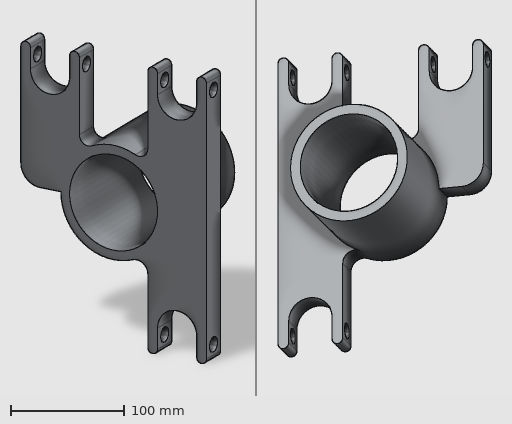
import cadquery as cq

width = 190.0
height = 270.0
plate_thickness = 25.0
tube_length = 120.0
tube_diameter = 108.0
bore_diameter = 90.0

prong_thickness = 10.0
slot_width = 40.0
slot_depth = 45.0
pin_hole_diameter = 14.0
pin_hole_inset = 15.0

arm_corner_radius = 20.0
upper_hub_fillet_radius = 9.0
lower_hub_fillet_radius = 11.5

fork_width = slot_width + 2 * prong_thickness
fork_x = (width - fork_width) / 2
inner_edge_x = fork_x - fork_width / 2
tip_z = height / 2
pin_z = tip_z - pin_hole_inset
forks = [(-fork_x, 1), (fork_x, 1), (fork_x, -1)]


def box_between(x_min, x_max, z_min, z_max):
    """Block through the plate thickness, spanning the given X and Z limits."""
    return cq.Workplane("XY").box(
        x_max - x_min, plate_thickness, z_max - z_min, centered=False
    ).translate((x_min, 0, z_min))


def cylinder_along_y(diameter, length, x=0.0, z=0.0):
    """Cylinder from the plate front toward +Y."""
    return cq.Workplane("XZ", origin=(x, 0, z)).circle(diameter / 2).extrude(-length)


def make_plate():
    """Long right arm, short left arm and a round hub, blended at the inner corners."""
    right_arm = box_between(inner_edge_x, width / 2, -tip_z, tip_z)
    left_arm = box_between(-width / 2, -inner_edge_x, 0, tip_z)
    left_arm = left_arm.edges("|Y and <X and <Z").fillet(arm_corner_radius)
    hub = cylinder_along_y(tube_diameter, plate_thickness)
    plate = right_arm.union(left_arm).union(hub)

    hub_radius = tube_diameter / 2
    corner_z = (hub_radius**2 - inner_edge_x**2) ** 0.5
    mid_y = plate_thickness / 2
    hub_corners = [
        (-1, 1, upper_hub_fillet_radius),
        (1, 1, upper_hub_fillet_radius),
        (1, -1, lower_hub_fillet_radius),
    ]
    for x_sign, z_sign, radius in hub_corners:
        corner = (x_sign * inner_edge_x, mid_y, z_sign * corner_z)
        plate = plate.edges(cq.selectors.NearestToPointSelector(corner)).fillet(radius)
    return plate


def fork_slot(center_x, direction):
    """Slot cutter: a round bottom and a straight part running out to the tips."""
    round_z = direction * (tip_z - slot_depth + slot_width / 2)
    end_z = direction * tip_z
    half_slot = slot_width / 2
    straight = box_between(
        center_x - half_slot, center_x + half_slot, min(round_z, end_z), max(round_z, end_z)
    )
    return straight.union(cylinder_along_y(slot_width, plate_thickness, center_x, round_z))


def prong_tip_trim(center_x, direction):
    """Material removed to leave a full half-round end on one prong."""
    half_prong = prong_thickness / 2
    round_z = direction * (tip_z - half_prong)
    end_z = direction * tip_z
    end_block = box_between(
        center_x - half_prong, center_x + half_prong, min(round_z, end_z), max(round_z, end_z)
    )
    return end_block.cut(cylinder_along_y(prong_thickness, plate_thickness, center_x, round_z))


def pin_hole(z):
    """Hole along X through every prong at the given height."""
    return (
        cq.Workplane("YZ", origin=(-width / 2, plate_thickness / 2, z))
        .circle(pin_hole_diameter / 2)
        .extrude(width)
    )


body = make_plate()

for center_x, direction in forks:
    body = body.cut(fork_slot(center_x, direction))
    prong_offset = (slot_width + prong_thickness) / 2
    for side in (-1, 1):
        body = body.cut(prong_tip_trim(center_x + side * prong_offset, direction))

for z in (-pin_z, pin_z):
    body = body.cut(pin_hole(z))

body = body.union(cylinder_along_y(tube_diameter, tube_length))
result = body.cut(cylinder_along_y(bore_diameter, tube_length))